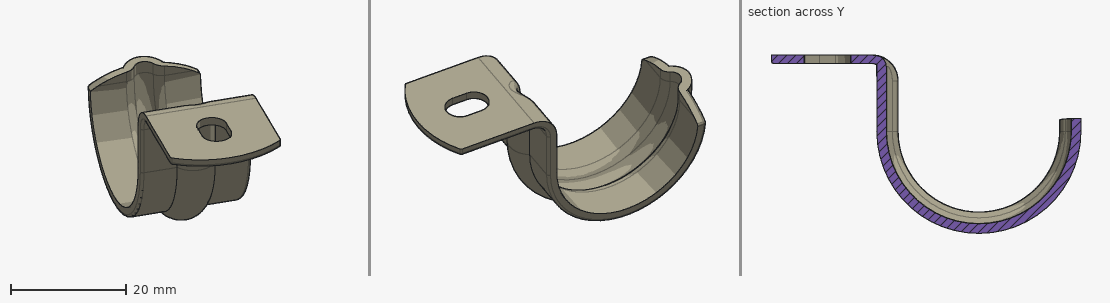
import cadquery as cq
import math

WIDTH = 20.0
INNER_RADIUS = 14.0
WALL = 1.75
OUTER_RADIUS = INNER_RADIUS + WALL
TAB_TOP = 13.25
TAB_THICKNESS = 1.5
TAB_END = 36.0
LIP_TOP = 2.25
BEND_OUTER_RADIUS = 4.5
BEND_INNER_RADIUS = 3.0
END_RADIUS = 18.0
CORNER_RADIUS = 0.5
EDGE_RADIUS = 0.5

GROOVE_RADIUS = 2.0
GROOVE_BLEND_RADIUS = 2.0
RIB_CROWN_RADIUS = 17.75
RIB_RADIUS = 4.0
RIB_CENTRE_RADIUS = RIB_CROWN_RADIUS - RIB_RADIUS

SLOT_X = 26.25
SLOT_LENGTH = 8.0
SLOT_WIDTH = 5.25

REACH = 20.0
END_SAG = END_RADIUS - math.sqrt(END_RADIUS**2 - (WIDTH / 2)**2)
TAB_UNDERSIDE = TAB_TOP - TAB_THICKNESS
BEND_START = TAB_TOP - BEND_OUTER_RADIUS
WALL_MIDDLE = BEND_START / 2


def make_strip():
    """Constant-width strip: free lip, half-round saddle, wall, bend and tab."""
    outer_bend_x = INNER_RADIUS + BEND_OUTER_RADIUS
    inner_bend_x = OUTER_RADIUS + BEND_INNER_RADIUS
    inner_bend_z = TAB_UNDERSIDE - BEND_INNER_RADIUS
    diagonal = math.sqrt(0.5)
    outer_mid = (outer_bend_x - BEND_OUTER_RADIUS * diagonal, BEND_START + BEND_OUTER_RADIUS * diagonal)
    inner_mid = (inner_bend_x - BEND_INNER_RADIUS * diagonal, inner_bend_z + BEND_INNER_RADIUS * diagonal)
    return (
        cq.Workplane("XZ")
        .moveTo(-INNER_RADIUS, LIP_TOP)
        .lineTo(-INNER_RADIUS, 0)
        .threePointArc((0, -INNER_RADIUS), (INNER_RADIUS, 0))
        .lineTo(INNER_RADIUS, BEND_START)
        .threePointArc(outer_mid, (outer_bend_x, TAB_TOP))
        .lineTo(TAB_END, TAB_TOP)
        .lineTo(TAB_END, TAB_UNDERSIDE)
        .lineTo(inner_bend_x, TAB_UNDERSIDE)
        .threePointArc(inner_mid, (OUTER_RADIUS, inner_bend_z))
        .lineTo(OUTER_RADIUS, 0)
        .threePointArc((0, -OUTER_RADIUS), (-OUTER_RADIUS, 0))
        .lineTo(-OUTER_RADIUS, LIP_TOP)
        .close()
        .extrude(WIDTH / 2, both=True)
    )


def rounded_end_blank(plane, crown, root, depth):
    """Prism as wide as the strip, ending along local X at a convex arc."""
    edge = crown - END_SAG
    half = WIDTH / 2
    return (
        cq.Workplane(plane)
        .moveTo(root, -half)
        .lineTo(edge, -half)
        .threePointArc((crown, 0), (edge, half))
        .lineTo(root, half)
        .close()
        .extrude(depth)
    )


def ease_end_corners(blank, plane):
    """Round the two corners where the end arc meets the sides of a blank."""
    return (
        blank
        .edges(cq.selectors.ParallelDirSelector(plane.zDir))
        .edges(cq.selectors.DirectionMinMaxSelector(plane.xDir, True))
        .fillet(CORNER_RADIUS)
    )


def make_envelope(lip_corners_eased):
    """Space allowed to the strip: the lip is trimmed seen along X, the tab seen along Z."""
    lip_plane = cq.Plane(origin=(-REACH, 0, 0), xDir=(0, 0, 1), normal=(1, 0, 0))
    tab_plane = cq.Plane(origin=(0, 0, -REACH), xDir=(1, 0, 0), normal=(0, 0, 1))
    lip_blank = rounded_end_blank(lip_plane, LIP_TOP, -REACH, REACH)
    tab_blank = rounded_end_blank(tab_plane, TAB_END, 0, 2 * REACH)
    if lip_corners_eased:
        lip_blank = ease_end_corners(lip_blank, lip_plane)
    return lip_blank.union(ease_end_corners(tab_blank, tab_plane))


def fillet_chain(body, radius, x, y):
    """Fillet the smooth chain of edges that runs along the upright wall at x, y."""
    wall_edge = cq.selectors.NearestToPointSelector((x, y, WALL_MIDDLE))
    return body.edges(wall_edge).fillet(radius)


def make_rounded_strip(envelope):
    """Strip trimmed to the envelope, its outer edges rounded as far as they run on smoothly."""
    return fillet_chain(make_strip().intersect(envelope), EDGE_RADIUS, OUTER_RADIUS, WIDTH / 2)


def make_rib():
    """Round-crowned bead standing on the outer face along the lip, saddle and wall."""
    half_chord = math.sqrt(RIB_RADIUS**2 - (INNER_RADIUS - RIB_CENTRE_RADIUS) ** 2)

    def section():
        return (
            cq.Workplane("XY")
            .moveTo(INNER_RADIUS, -half_chord)
            .threePointArc((RIB_CROWN_RADIUS, 0), (INNER_RADIUS, half_chord))
            .close()
        )

    bend_corner = (
        cq.Workplane("XY")
        .box(REACH, WIDTH, TAB_TOP, centered=(False, True, False))
        .translate((INNER_RADIUS, 0, 0))
        .edges("<X and >Z")
        .fillet(BEND_OUTER_RADIUS)
    )
    wall_rib = section().extrude(TAB_UNDERSIDE).intersect(bend_corner)
    lip_rib = section().extrude(LIP_TOP).mirror("YZ")
    saddle_rib = section().revolve(180, (0, 0, 0), (0, 1, 0))
    return saddle_rib.union(wall_rib).union(lip_rib)


def make_groove():
    """Round bar bent along the inner face; it leaves through the lip and the bend."""
    path = (
        cq.Workplane("XZ")
        .moveTo(INNER_RADIUS, TAB_TOP + GROOVE_RADIUS)
        .lineTo(INNER_RADIUS, 0)
        .threePointArc((0, -INNER_RADIUS), (-INNER_RADIUS, 0))
        .lineTo(-INNER_RADIUS, LIP_TOP + GROOVE_RADIUS)
    )
    bar_end = cq.Workplane("XY", origin=(INNER_RADIUS, 0, TAB_TOP + GROOVE_RADIUS))
    return bar_end.circle(GROOVE_RADIUS).sweep(path)


def make_slot():
    """Round-ended screw slot through the tab."""
    return (
        cq.Workplane("XY", origin=(SLOT_X, 0, TAB_UNDERSIDE))
        .slot2D(SLOT_LENGTH, SLOT_WIDTH)
        .extrude(TAB_THICKNESS)
    )


eased_envelope = make_envelope(lip_corners_eased=True)
sharp_envelope = make_envelope(lip_corners_eased=False)
front_half_space = cq.Workplane("XY").box(4 * REACH, WIDTH, 4 * REACH).translate((0, -WIDTH / 2, 0))
back_half = make_rounded_strip(eased_envelope).cut(front_half_space)
front_half = make_rounded_strip(sharp_envelope).intersect(front_half_space)
strip = back_half.union(front_half).clean()

body = strip.union(make_rib().intersect(sharp_envelope))
body = body.cut(make_groove())
body = fillet_chain(body, GROOVE_BLEND_RADIUS, INNER_RADIUS, GROOVE_RADIUS)
result = body.cut(make_slot())